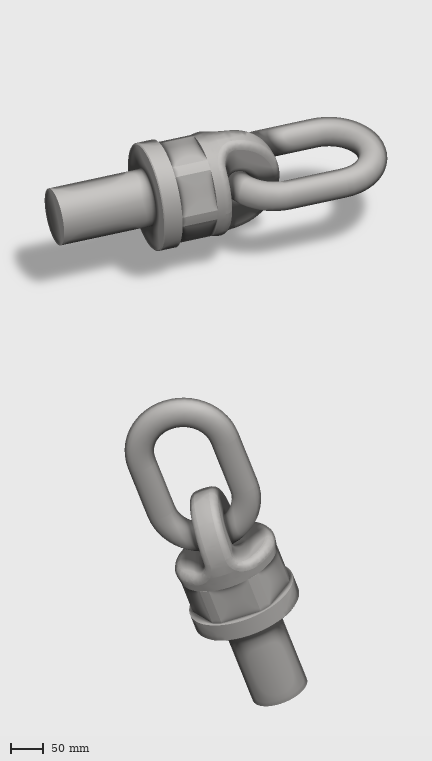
import cadquery as cq
import math


SHANK_DIAMETER = 90.0
SHANK_LENGTH = 149.5
SHANK_ROOT_FILLET = 1.5
FLANGE_DIAMETER = 170.0
FLANGE_HEIGHT = 29.5
FLANGE_CHAMFER = 1.5
HEX_ACROSS_FLATS = 145.0
HEX_CORNER_DIAMETER = 158.5
HEX_HEIGHT = 59.0
HEX_TURN = 30

DISC_BOTTOM_Y = FLANGE_HEIGHT + HEX_HEIGHT
DISC_HEIGHT = 26.5
DISC_TOP_Y = DISC_BOTTOM_Y + DISC_HEIGHT
CROWN_RADIUS = FLANGE_DIAMETER / 2
CROWN_CENTRE_Y = 129.0
TAPER_ANGLE = math.radians(10)
LUG_THICKNESS = 45.0
LUG_ROOT_RADIUS = LUG_THICKNESS / 2
EDGE_FILLET = 12.0
HOLE_DIAMETER = 49.0
HOLE_FLOOR_GAP = 1.5
HOLE_CENTRE_Y = DISC_TOP_Y + HOLE_FLOOR_GAP + HOLE_DIAMETER / 2

OVERALL_LENGTH = 538
LINK_WIDTH = 180.0
LINK_BAR_DIAMETER = 45.0
LINK_BEND_RADIUS = (LINK_WIDTH - LINK_BAR_DIAMETER) / 2
LINK_STRAIGHT_LENGTH = 90.0
LINK_TOP_Y = OVERALL_LENGTH - SHANK_LENGTH
LINK_UPPER_BEND_Y = LINK_TOP_Y - LINK_WIDTH / 2
LINK_LOWER_BEND_Y = LINK_UPPER_BEND_Y - LINK_STRAIGHT_LENGTH


def plane_at(y):
    """Workplane across the bolt axis at height y, extruding toward +Y."""
    return cq.Workplane(cq.Plane(origin=(0, y, 0), xDir=(1, 0, 0), normal=(0, 1, 0)))


def make_bolt():
    """Plain shank below a flange, with a hexagon above it."""
    shank = plane_at(-SHANK_LENGTH).circle(SHANK_DIAMETER / 2).extrude(SHANK_LENGTH)
    flange = plane_at(0).circle(FLANGE_DIAMETER / 2).extrude(FLANGE_HEIGHT)
    flange = flange.faces("<Y").chamfer(FLANGE_CHAMFER)
    shank_root = cq.selectors.RadiusNthSelector(0)
    stud = flange.union(shank).faces("<Y[1]").edges(shank_root).fillet(SHANK_ROOT_FILLET)

    hex_outline = plane_at(FLANGE_HEIGHT).transformed(rotate=(0, 0, HEX_TURN))
    hexagon = hex_outline.polygon(6, HEX_ACROSS_FLATS, circumscribed=True).extrude(HEX_HEIGHT)
    corner_trim = plane_at(FLANGE_HEIGHT).circle(HEX_CORNER_DIAMETER / 2).extrude(HEX_HEIGHT)
    return stud.union(hexagon.intersect(corner_trim))


def make_eye_envelope():
    """Body of revolution: a tapered skirt tangent to the round crown."""
    skirt_top_radius = CROWN_RADIUS * math.cos(TAPER_ANGLE)
    skirt_top_y = CROWN_CENTRE_Y - CROWN_RADIUS * math.sin(TAPER_ANGLE)
    skirt_bottom_radius = skirt_top_radius - (skirt_top_y - DISC_BOTTOM_Y) * math.tan(TAPER_ANGLE)
    crown_middle = CROWN_RADIUS * math.sqrt(0.5)
    profile = (
        cq.Workplane("XY")
        .moveTo(0, DISC_BOTTOM_Y)
        .lineTo(skirt_bottom_radius, DISC_BOTTOM_Y)
        .lineTo(skirt_top_radius, skirt_top_y)
        .threePointArc(
            (crown_middle, CROWN_CENTRE_Y + crown_middle),
            (0, CROWN_CENTRE_Y + CROWN_RADIUS),
        )
        .close()
    )
    return profile.revolve(360, (0, 0), (0, 1))


def make_side_cutter(side):
    """Cutter that leaves the lug side, its concave root and the top of the disc."""
    lug_side = side * LUG_THICKNESS / 2
    root_end = lug_side + side * LUG_ROOT_RADIUS
    root_middle_offset = LUG_ROOT_RADIUS * (1 - math.sqrt(0.5))
    clear_x = side * FLANGE_DIAMETER
    clear_y = CROWN_CENTRE_Y + 2 * CROWN_RADIUS
    return (
        cq.Workplane("XY")
        .moveTo(clear_x, DISC_TOP_Y)
        .lineTo(root_end, DISC_TOP_Y)
        .threePointArc(
            (lug_side + side * root_middle_offset, DISC_TOP_Y + root_middle_offset),
            (lug_side, DISC_TOP_Y + LUG_ROOT_RADIUS),
        )
        .lineTo(lug_side, clear_y)
        .lineTo(clear_x, clear_y)
        .close()
        .extrude(FLANGE_DIAMETER, both=True)
    )


def lug_side_arcs(eye, low_y, high_y, half_width):
    """Arcs around the flat lug sides whose centres of mass lie in the given window."""
    window = cq.selectors.BoxSelector(
        (-LUG_THICKNESS, low_y, -half_width),
        (LUG_THICKNESS, high_y, half_width),
    )
    return eye.faces("|X").edges("%CIRCLE").edges(window)


def make_eye():
    """Disc and pierced lug, rounded along all exposed rims."""
    eye = make_eye_envelope()
    for side in (-1, 1):
        eye = eye.cut(make_side_cutter(side))

    hole = cq.Workplane("YZ").center(HOLE_CENTRE_Y, 0).circle(HOLE_DIAMETER / 2)
    eye = eye.cut(hole.extrude(LUG_THICKNESS * 2, both=True))

    hole_top_y = HOLE_CENTRE_Y + HOLE_DIAMETER / 2
    eye = lug_side_arcs(eye, DISC_TOP_Y, hole_top_y, HOLE_DIAMETER / 2).fillet(EDGE_FILLET)
    crown_top_y = CROWN_CENTRE_Y + CROWN_RADIUS
    return lug_side_arcs(eye, hole_top_y + EDGE_FILLET, crown_top_y, CROWN_RADIUS).fillet(EDGE_FILLET)


def make_link():
    """Round bar swept along an oval centreline in the XY plane."""
    lower_left = (-LINK_BEND_RADIUS, LINK_LOWER_BEND_Y)
    upper_left = (-LINK_BEND_RADIUS, LINK_UPPER_BEND_Y)
    upper_right = (LINK_BEND_RADIUS, LINK_UPPER_BEND_Y)
    lower_right = (LINK_BEND_RADIUS, LINK_LOWER_BEND_Y)
    centreline = (
        cq.Workplane("XY")
        .moveTo(*lower_left)
        .lineTo(*upper_left)
        .threePointArc((0, LINK_UPPER_BEND_Y + LINK_BEND_RADIUS), upper_right)
        .lineTo(*lower_right)
        .threePointArc((0, LINK_LOWER_BEND_Y - LINK_BEND_RADIUS), lower_left)
        .close()
    )
    bar = plane_at(LINK_LOWER_BEND_Y).center(-LINK_BEND_RADIUS, 0).circle(LINK_BAR_DIAMETER / 2)
    return bar.sweep(centreline)


bolt = make_bolt()
eye = make_eye()
link = make_link()

result = cq.Compound.makeCompound([bolt.val(), eye.val(), link.val()])